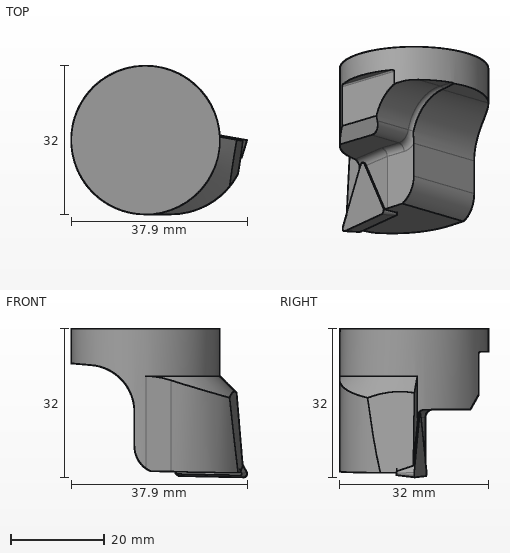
import cadquery as cq
import math

shank_radius = 16.0
head_height = 32.0
reach = 60.0
outer_x = -shank_radius - 1
edge_margin = 0.1

nose_flat_length = 5.4
nose_side_radius = 16.4
nose_arc_end = -10.0
cone_top = -10.2
end_flat_x = 19.6
end_flat_level = -13.8
end_flat_relief = 9.2
end_flat_draft = 4.9
base_z = -30.65
base_tilt = 1.05

relief_edge_z = -7.5
relief_slope = 4.9
relief_radius = 10.0
wall_x = -2.43
heel_radius = 6.0
heel_start_z = -25.2

back_y = 2.48
shelf_z = -17.4
rear_relief_z = -7.4
rear_arc_start_x = -12.0
shelf_round = 3.0
corner_fillet = 1.6
rear_flat_y = 13.9
rear_flat_top = -5.0
rear_flat_fillet = 0.3
rear_chamfer_depth = 1.8
rear_chamfer_height = 3.2

rake_angle = 10.0
tip_x = 21.85
insert_edge = 16.65
insert_corner = 0.8
insert_thickness = 3.97
insert_tilt = 1.2
insert_relief = 7.0
insert_proud = 0.35

rake = math.radians(rake_angle)
rake_start_x = tip_x - (back_y + insert_proud / math.cos(rake)) / math.tan(rake)


def rake_y(x):
    """Y of the raked nose face at a given X."""
    return (tip_x - x) * math.tan(rake) - insert_proud / math.cos(rake)


def make_insert():
    """Relieved triangle with rounded corners and a slightly tilted bottom edge."""
    face = cq.Plane(
        origin=(tip_x, 0, -head_height),
        xDir=(math.cos(rake), -math.sin(rake), 0),
        normal=(-math.sin(rake), -math.cos(rake), 0),
    )
    corner_inset = insert_corner * math.sqrt(3)
    sharp = [
        (corner_inset, -insert_corner),
        (corner_inset - insert_edge, -insert_corner),
        (corner_inset - insert_edge / 2, insert_edge * math.sqrt(3) / 2 - insert_corner),
    ]
    tilt = -math.radians(insert_tilt)
    outline = [
        (
            x * math.cos(tilt) - y * math.sin(tilt) - insert_corner,
            x * math.sin(tilt) + y * math.cos(tilt) + insert_corner,
        )
        for x, y in sharp
    ]
    triangle = cq.Sketch().polygon(outline + outline[:1]).vertices().fillet(insert_corner)
    blank = cq.Workplane(face).placeSketch(triangle)
    return blank.extrude(insert_thickness, taper=insert_relief)


def make_nose():
    """Upright nose wall, topped by the cone and ended by the slanted flat."""
    arc_x = nose_flat_length
    arc_end = math.radians(nose_arc_end)
    arc_y = nose_side_radius - shank_radius
    arc_end_x = arc_x + nose_side_radius * math.cos(arc_end)
    arc_end_y = arc_y + nose_side_radius * math.sin(arc_end)
    diagonal = nose_side_radius * math.sqrt(0.5)
    wall = (
        cq.Workplane("XY", origin=(0, 0, -head_height))
        .moveTo(0, -shank_radius)
        .lineTo(nose_flat_length, -shank_radius)
        .threePointArc((arc_x + diagonal, arc_y - diagonal), (arc_end_x, arc_end_y))
        .lineTo(arc_end_x, rake_y(arc_end_x))
        .lineTo(nose_flat_length, rake_y(nose_flat_length))
        .lineTo(0, rake_y(nose_flat_length))
        .close()
        .extrude(head_height)
    )
    cone_drop = head_height + cone_top
    cone = (
        cq.Workplane("XZ")
        .polyline([
            (0, -head_height),
            (shank_radius + cone_drop, -head_height),
            (0, cone_top + shank_radius),
        ])
        .close()
        .revolve(360, (0, 0, 0), (0, 1, 0))
    )
    relief_rise = math.tan(math.radians(end_flat_relief))
    end_flat = cq.Plane(
        origin=(end_flat_x, 0, end_flat_level),
        xDir=(relief_rise, 1, 0),
        normal=(1, -relief_rise, math.tan(math.radians(end_flat_draft))),
    )
    beyond_end = cq.Workplane(end_flat).rect(reach, reach).extrude(reach)
    return wall.intersect(cone).cut(beyond_end)


def make_side_relief():
    """Cutter for the -X side: sloped ceiling, arc, upright wall and rounded heel."""
    slope = math.radians(relief_slope)
    arc_x = wall_x - relief_radius
    arc_start_x = arc_x + relief_radius * math.sin(slope)
    arc_start_z = relief_edge_z - (arc_start_x + shank_radius) * math.tan(slope)
    arc_z = arc_start_z - relief_radius * math.cos(slope)
    middle = (math.pi / 2 - slope) / 2
    outer_z = relief_edge_z - (outer_x + shank_radius) * math.tan(slope)
    heel_x = wall_x + heel_radius
    heel_diagonal = heel_radius * math.sqrt(0.5)
    return (
        cq.Workplane("XZ", origin=(0, reach / 2, 0))
        .moveTo(outer_x, outer_z)
        .lineTo(arc_start_x, arc_start_z)
        .threePointArc(
            (arc_x + relief_radius * math.cos(middle), arc_z + relief_radius * math.sin(middle)),
            (wall_x, arc_z),
        )
        .lineTo(wall_x, heel_start_z)
        .threePointArc(
            (heel_x - heel_diagonal, heel_start_z - heel_diagonal),
            (heel_x, heel_start_z - heel_radius),
        )
        .lineTo(heel_x, -reach)
        .lineTo(outer_x, -reach)
        .close()
        .extrude(reach)
    )


def make_rake_relief():
    """Cutter that swings the nose face to the rake angle under the shelf."""
    return (
        cq.Workplane("XY", origin=(0, 0, shelf_z))
        .polyline([(rake_start_x, back_y), (reach, rake_y(reach)), (reach, back_y)])
        .close()
        .extrude(-reach)
    )


def make_rear_relief():
    """Cutter behind the nose: arc on the -X side, shelf, and raked nose face."""
    arc_z = rear_relief_z - relief_radius
    round_x = rear_arc_start_x + math.sqrt((relief_radius + shelf_round) ** 2 - shelf_round ** 2)
    round_z = shelf_z + shelf_round
    join = math.atan2(round_z - arc_z, round_x - rear_arc_start_x)
    arc_middle = (math.pi / 2 + join) / 2
    round_middle = (math.pi + join + 1.5 * math.pi) / 2

    def on_arc(angle):
        return (
            rear_arc_start_x + relief_radius * math.cos(angle),
            arc_z + relief_radius * math.sin(angle),
        )

    cutter = (
        cq.Workplane("XZ", origin=(0, back_y, 0))
        .moveTo(outer_x, rear_relief_z)
        .lineTo(rear_arc_start_x, rear_relief_z)
        .threePointArc(on_arc(arc_middle), on_arc(join))
        .threePointArc(
            (
                round_x + shelf_round * math.cos(round_middle),
                round_z + shelf_round * math.sin(round_middle),
            ),
            (round_x, shelf_z),
        )
        .lineTo(reach, shelf_z)
        .lineTo(reach, -reach)
        .lineTo(outer_x, -reach)
        .close()
        .extrude(-reach)
    )
    back_rim = cq.selectors.BoxSelector(
        (outer_x, back_y - edge_margin, shelf_z - edge_margin),
        (rake_start_x, back_y + edge_margin, 0),
    )
    rake_rim = cq.selectors.BoxSelector(
        (rake_start_x, -reach, shelf_z - edge_margin),
        (reach - edge_margin, back_y - edge_margin, shelf_z + edge_margin),
    )
    cutter = cutter.union(make_rake_relief())
    return cutter.edges(back_rim + rake_rim).fillet(corner_fillet)


def make_rear_flat():
    """Cutter for the +Y flat and the bevel down to the shelf."""
    bevel_start_z = shelf_z + rear_chamfer_height
    flat = (
        cq.Workplane("YZ", origin=(-reach / 2, 0, 0))
        .polyline([
            (rear_flat_y, rear_flat_top),
            (reach, rear_flat_top),
            (reach, shelf_z),
            (rear_flat_y - rear_chamfer_depth, shelf_z),
            (rear_flat_y, bevel_start_z),
        ])
        .close()
        .extrude(reach)
    )
    inner_edge = cq.selectors.NearestToPointSelector((0, rear_flat_y, rear_flat_top))
    return flat.edges("|X").edges(inner_edge).fillet(rear_flat_fillet)


def make_underside():
    """Cutter below the slightly tilted underside."""
    tilt = math.radians(base_tilt)
    plane = cq.Plane(
        origin=(0, 0, base_z),
        xDir=(math.cos(tilt), 0, -math.sin(tilt)),
        normal=(math.sin(tilt), 0, math.cos(tilt)),
    )
    return cq.Workplane(plane).rect(2 * reach, 2 * reach).extrude(-reach)


def make_head(insert):
    """Shank and nose as one solid, with a pocket that fits the insert."""
    shank = cq.Workplane("XY").circle(shank_radius).extrude(-head_height)
    return (
        shank.union(make_nose())
        .cut(make_side_relief())
        .cut(make_rear_relief())
        .cut(make_rear_flat())
        .cut(make_underside())
        .cut(insert)
    )


insert = make_insert()
head = make_head(insert)

result = cq.Compound.makeCompound([head.solids().val(), insert.val()])